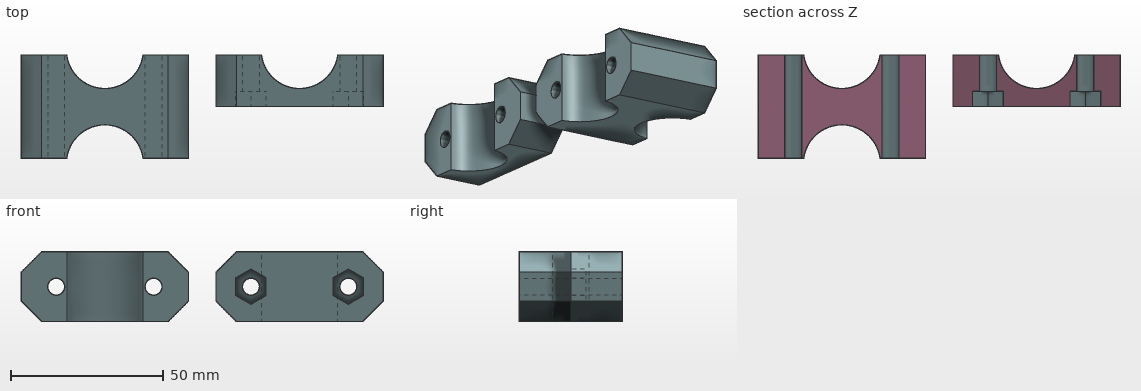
import cadquery as cq
import math

clamp_length = 55.0
clamp_height = 23.0
clamp_gap = 9.0
corner_chamfer = clamp_height / (2 + math.sqrt(2))
cap_depth = 17.0
block_depth = 2 * cap_depth

seat_radius = 12.6
seat_axis_offset = 1.6

screw_diameter = 5.5
screw_spacing = 32.0
nut_across_flats = 10.0
nut_across_corners = nut_across_flats / math.cos(math.pi / 6)
nut_recess_depth = 5.0

rear_face_y = block_depth / 2
body_pitch = clamp_length + clamp_gap
block_center_x = -body_pitch / 2
cap_center_x = body_pitch / 2


def clamp_blank(center_x, depth):
    """Octagonal bar that ends at the rear mating face."""
    return (
        cq.Workplane("XY")
        .box(clamp_length, depth, clamp_height)
        .edges("|Y")
        .chamfer(corner_chamfer)
        .translate((center_x, rear_face_y - depth / 2, 0))
    )


def tube_seat(center_x, axis_y):
    """Vertical cylinder that carves one tube seat."""
    return (
        cq.Workplane("XY")
        .center(center_x, axis_y)
        .circle(seat_radius)
        .extrude(clamp_height / 2, both=True)
    )


def screw_positions(center_x):
    """X and Z of the two screws, one on each side of the seat."""
    return [(center_x + side * screw_spacing / 2, 0) for side in (-1, 1)]


def screw_holes(center_x):
    """Screw holes long enough to pass through either body."""
    return (
        cq.Workplane("XZ")
        .pushPoints(screw_positions(center_x))
        .circle(screw_diameter / 2)
        .extrude(block_depth / 2, both=True)
    )


def nut_recesses(center_x, front_face_y):
    """Hexagonal pockets sunk from the front face, with corners up and down."""
    pockets = []
    for x, z in screw_positions(center_x):
        corner_up_plane = cq.Plane(origin=(x, front_face_y, z), xDir=(0, 0, 1), normal=(0, 1, 0))
        pocket = cq.Workplane(corner_up_plane).polygon(6, nut_across_corners).extrude(nut_recess_depth)
        pockets.append(pocket)
    return pockets


def make_center_block():
    """Block with a tube seat in both its front and rear faces."""
    block = clamp_blank(block_center_x, block_depth)
    for side in (-1, 1):
        axis_y = side * (rear_face_y + seat_axis_offset)
        block = block.cut(tube_seat(block_center_x, axis_y))
    return block.cut(screw_holes(block_center_x))


def make_clamp_cap():
    """Cap with one tube seat at the rear and nut recesses at the front."""
    cap = clamp_blank(cap_center_x, cap_depth)
    cap = cap.cut(tube_seat(cap_center_x, rear_face_y + seat_axis_offset))
    cap = cap.cut(screw_holes(cap_center_x))
    for pocket in nut_recesses(cap_center_x, rear_face_y - cap_depth):
        cap = cap.cut(pocket)
    return cap


center_block = make_center_block()
clamp_cap = make_clamp_cap()

result = cq.Compound.makeCompound([center_block.val(), clamp_cap.val()])